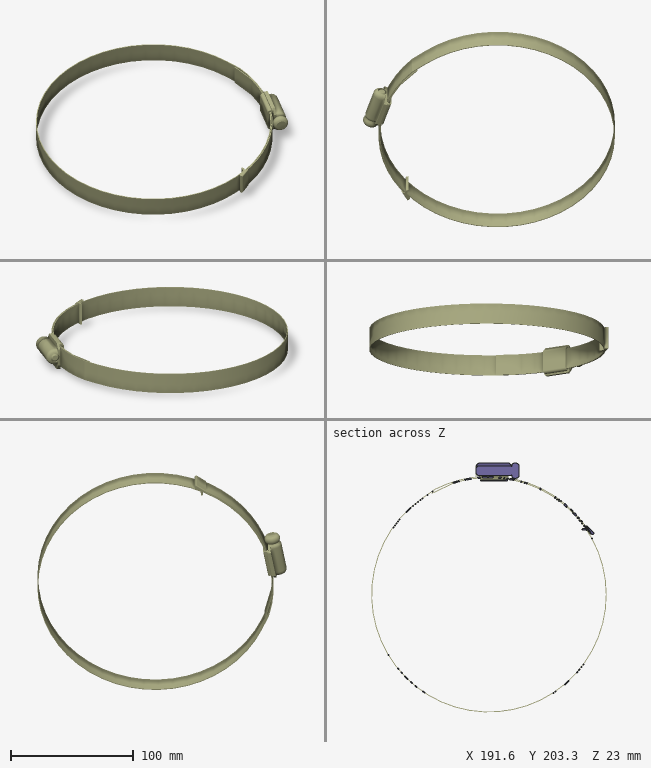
import cadquery as cq
import math


band_radius = 95.8
band_thickness = 0.71
band_height = 16.7
lap_gap = 0.2
step_angle = 125
tail_bend_angle = 107
tail_angle = 119.5
tail_offset = 0.8
outer_end_angle = 31

overall_height = 23.0
worm_y = 101.0
dome_radius = 6.5
housing_left = -11.0
housing_right = 18.0
body_left = -7.1
body_right = 15.0
flange_top = 98.5
seam_y = 96.8
flange_chamfer_z = 4.5
foot_radius = 1.2

lip_bottom = 95.5
lip_overhang = 1.0
saddle_bottom = 92.3
saddle_floor = 93.5
saddle_width = 20.0
saddle_edge_radius = 2.0
side_clearance = 0.1

shank_radius = 3.7
tip_radius = 2.2
head_start = 18.5
head_end = 24.5
head_inner_radius = 5.3
head_outer_radius = 4.3
head_crown = 21.1

clip_height = 17.9
clip_edge_radius = 0.8
plate_start = (85.4, 50.6)
plate_end = (78.9, 57.1)


def polar(radius, angle):
    """Point at a radius and an angle in degrees from +X."""
    return radius * math.cos(math.radians(angle)), radius * math.sin(math.radians(angle))


band_inner_radius = band_radius - band_thickness
lap_inner_radius = band_radius + lap_gap
lap_outer_radius = lap_inner_radius + band_thickness


def make_band():
    """One open strip: inner tail, full loop, tangential step and outer overlapping layer."""
    loop_end = step_angle - 360
    loop_middle = (tail_bend_angle + loop_end) / 2
    outer_kink = step_angle - math.degrees(math.acos(band_radius / lap_outer_radius))
    inner_kink = step_angle - math.degrees(math.acos(band_inner_radius / lap_inner_radius))
    lap_middle = (outer_kink + outer_end_angle) / 2
    return (
        cq.Workplane("XY", origin=(0, 0, -band_height / 2))
        .moveTo(*polar(band_radius - tail_offset, tail_angle))
        .lineTo(*polar(band_radius, tail_bend_angle))
        .threePointArc(polar(band_radius, loop_middle), polar(band_radius, loop_end))
        .lineTo(*polar(lap_outer_radius, outer_kink))
        .threePointArc(polar(lap_outer_radius, lap_middle), polar(lap_outer_radius, outer_end_angle))
        .lineTo(*polar(lap_inner_radius, outer_end_angle))
        .threePointArc(polar(lap_inner_radius, lap_middle), polar(lap_inner_radius, inner_kink))
        .lineTo(*polar(band_inner_radius, loop_end))
        .threePointArc(polar(band_inner_radius, loop_middle), polar(band_inner_radius, tail_bend_angle))
        .lineTo(*polar(band_inner_radius - tail_offset, tail_angle))
        .close()
        .extrude(band_height)
    )


def flange_plate(left, right, top, bottom, chamfer_x, chamfer_z):
    """Flat plate parallel to XZ with four cut corners."""
    half_height = overall_height / 2
    corner_z = half_height - chamfer_z
    return (
        cq.Workplane("XZ", origin=(0, top, 0))
        .polyline([
            (left, -corner_z),
            (left + chamfer_x, -half_height),
            (right - chamfer_x, -half_height),
            (right, -corner_z),
            (right, corner_z),
            (right - chamfer_x, half_height),
            (left + chamfer_x, half_height),
            (left, corner_z),
        ])
        .close()
        .extrude(top - bottom)
    )


def cylinder_x(radius, start, end):
    """Cylinder on the worm axis."""
    return cq.Workplane("YZ", origin=(start, worm_y, 0)).circle(radius).extrude(end - start)


def make_dome():
    """Half-round cover with straight skirts and rounded ends."""
    dome = (
        cq.Workplane("YZ", origin=(housing_left, 0, 0))
        .moveTo(seam_y, -dome_radius)
        .lineTo(worm_y, -dome_radius)
        .threePointArc((worm_y + dome_radius, 0), (worm_y, dome_radius))
        .lineTo(seam_y, dome_radius)
        .close()
        .extrude(housing_right - housing_left)
    )
    dome = dome.faces("<X").edges("not <Y").fillet(body_left - housing_left)
    return dome.faces(">X").edges("not <Y").fillet(housing_right - body_right)


def make_skirt_foot(side):
    """Concave fillet between the skirt and the flange on one side (+1 or -1 along Z)."""
    inner_z = side * dome_radius
    outer_z = side * (dome_radius + foot_radius)
    foot_top = flange_top + foot_radius
    arc_offset = foot_radius * (1 - math.sqrt(0.5))
    return (
        cq.Workplane("YZ", origin=(body_left, 0, 0))
        .moveTo(flange_top, 0)
        .lineTo(flange_top, outer_z)
        .threePointArc((flange_top + arc_offset, inner_z + side * arc_offset), (foot_top, inner_z))
        .lineTo(foot_top, 0)
        .close()
        .extrude(body_right - body_left)
    )


def make_cover():
    """Dome on a flange plate, bored for the screw."""
    chamfer_x = body_left - housing_left
    cover = make_dome().union(
        flange_plate(housing_left, housing_right, flange_top, seam_y, chamfer_x, flange_chamfer_z)
    )
    for side in (-1, 1):
        cover = cover.union(make_skirt_foot(side))
    return cover.cut(cylinder_x(shank_radius, housing_left, housing_right))


def make_saddle():
    """Channel under the band, with lips that meet the cover flange."""
    length = body_right - body_left
    channel = (
        cq.Workplane("XY")
        .box(length, seam_y - saddle_bottom, saddle_width, centered=(False, False, True))
        .translate((body_left, saddle_bottom, 0))
        .faces("<Y").edges("|X").fillet(saddle_edge_radius)
    )
    lips = flange_plate(
        body_left - lip_overhang, body_right + lip_overhang, seam_y, lip_bottom, lip_overhang, lip_overhang
    )
    slot = (
        cq.Workplane("XY")
        .box(
            length + 2 * lip_overhang,
            seam_y - saddle_floor,
            band_height + 2 * side_clearance,
            centered=(False, False, True),
        )
        .translate((body_left - lip_overhang, saddle_floor, 0))
    )
    return channel.union(lips).cut(slot)


def make_screw():
    """Crowned head on a shank that fills the bore of the cover."""
    head = (
        cq.Workplane("XZ", origin=(0, worm_y, 0))
        .moveTo(head_start, 0)
        .lineTo(head_start, head_inner_radius)
        .threePointArc((head_crown, dome_radius), (head_end, head_outer_radius))
        .lineTo(head_end, 0)
        .close()
        .revolve(360, (head_start, 0), (head_end, 0))
    )
    shank = cylinder_x(shank_radius, housing_left, head_start)
    shank = shank.faces("<X").chamfer(shank_radius - tip_radius)
    return head.union(shank)


def make_clip():
    """Keeper around both band layers, with a straight outer plate and an inward prong."""
    clip = (
        cq.Workplane("XY", origin=(0, 0, -clip_height / 2))
        .polyline([
            (74.8, 52.7),
            (79.3, 52.7),
            (82.3, 48.8),
            (84.2, 48.8),
            (85.4, 49.8),
            plate_start,
            plate_end,
            (78.3, 54.3),
            (76.0, 54.3),
        ])
        .close()
        .extrude(clip_height)
    )
    plate_middle = ((plate_start[0] + plate_end[0]) / 2, (plate_start[1] + plate_end[1]) / 2, 0)
    outer_plate = cq.selectors.NearestToPointSelector(plate_middle)
    clip = clip.faces(outer_plate).edges("not |Z").fillet(clip_edge_radius)
    slot_height = band_height + 2 * side_clearance
    slot = (
        cq.Workplane("XY", origin=(0, 0, -slot_height / 2))
        .circle(lap_outer_radius)
        .circle(band_inner_radius)
        .extrude(slot_height)
    )
    return clip.cut(slot)


band = make_band()
cover = make_cover()
saddle = make_saddle()
screw = make_screw()
clip = make_clip()

bodies = [band, cover, saddle, screw, clip]
result = cq.Compound.makeCompound([body.solids().val() for body in bodies])